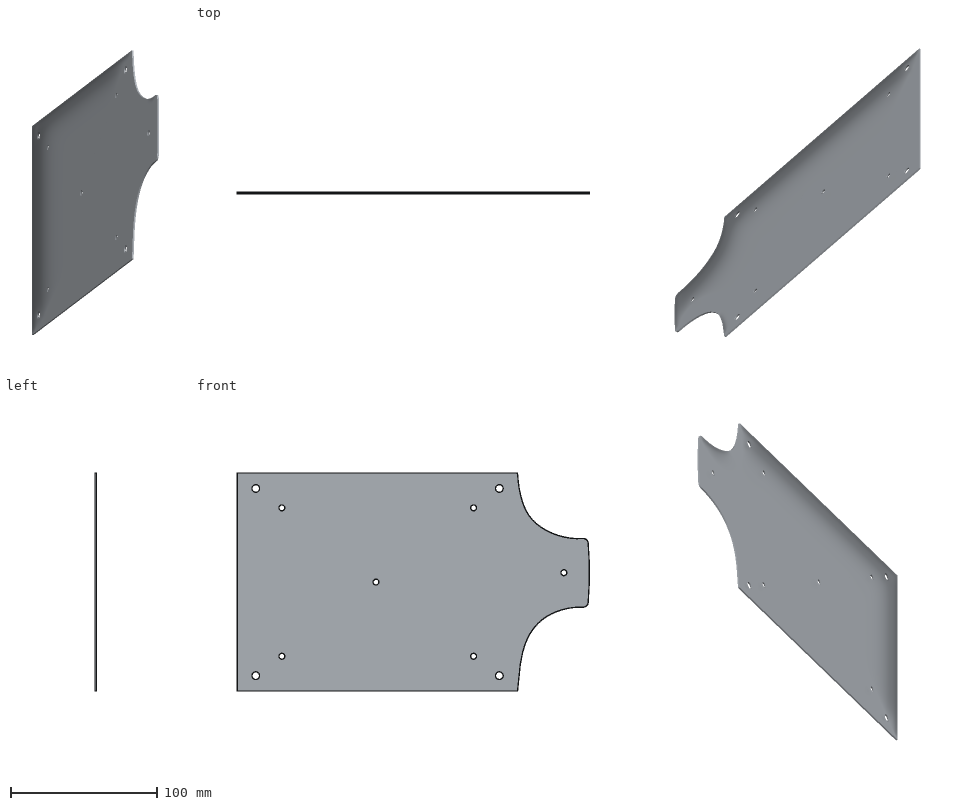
import cadquery as cq

length = 240.8
height = 149.0
thickness = 1.15

shoulder_x = 191.7
tongue_corner_x = 239.6
tongue_bottom = 57.0
tongue_top = 104.8
tongue_mid = (tongue_bottom + tongue_top) / 2
tongue_corner_radius = 3.5
shoulder_corner_radius = 0.7

lower_flank = [(194.8, 25.0), (199.6, 38.3), (206.9, 47.5), (214.8, 52.7)]
upper_flank = [(210.5, 110.3), (200.0, 119.5), (194.8, 130.0)]

mount_diameter = 5.0
mount_left = 12.8
mount_right = 179.2
mount_inset_z = 10.5

small_diameter = 3.9
inner_left = 30.5
inner_right = 161.5
inner_inset_z = 23.8
middle_hole = (95.0, height / 2)
tongue_hole = (223.2, tongue_mid)


def hole_rectangle(left, right, inset):
    """Centres at the four corners of a rectangle inset equally from top and bottom."""
    return [(x, z) for x in (left, right) for z in (inset, height - inset)]


def drill(plate, centres, diameter):
    """Cut round through holes along Y."""
    pins = (
        cq.Workplane("XZ")
        .pushPoints(centres)
        .circle(diameter / 2)
        .extrude(thickness / 2, both=True)
    )
    return plate.cut(pins)


def fillet_corners(plate, corner_x, corner_heights, radius):
    """Round the outline corners that lie at one X position."""
    for z in corner_heights:
        corner = cq.selectors.NearestToPointSelector((corner_x, 0, z))
        plate = plate.edges("|Y").edges(corner).fillet(radius)
    return plate


plate = (
    cq.Workplane("XZ")
    .lineTo(shoulder_x, 0)
    .spline(lower_flank + [(tongue_corner_x, tongue_bottom)], includeCurrent=True)
    .threePointArc((length, tongue_mid), (tongue_corner_x, tongue_top))
    .spline(upper_flank + [(shoulder_x, height)], includeCurrent=True)
    .lineTo(0, height)
    .close()
    .extrude(thickness / 2, both=True)
)
plate = fillet_corners(plate, tongue_corner_x, (tongue_bottom, tongue_top), tongue_corner_radius)
plate = fillet_corners(plate, shoulder_x, (0, height), shoulder_corner_radius)

plate = drill(plate, hole_rectangle(mount_left, mount_right, mount_inset_z), mount_diameter)
inner_holes = hole_rectangle(inner_left, inner_right, inner_inset_z)
result = drill(plate, inner_holes + [middle_hole, tongue_hole], small_diameter)